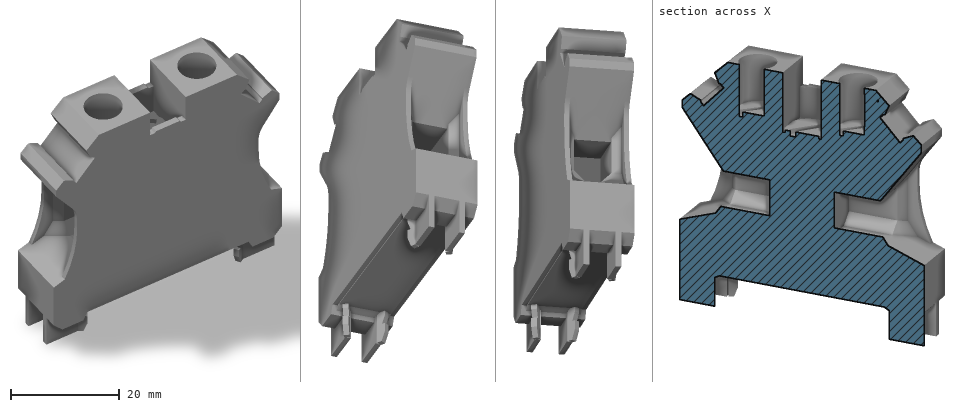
import cadquery as cq
import math

thickness = 12.15
length = 50.0
height = 49.35
half_thickness = thickness / 2
half_length = length / 2

base_z = 6.45
base_half_length = 17.7
skid_inner_y = 18.5
skid_outer_y = 23.1
skid_z = 4.8
skid_chamfer_top_z = 6.75
shoulder_z = 16.15
ledge_inner_y = 22.6
ledge_inner_z = 17.0
waist_y = 19.85
waist_bottom_z = 28.5
waist_blend_radius = 5.0
waist_arc_radius = 25.0
wing_y = 24.45
wing_bottom_z = 38.55
wing_top_z = 40.1
wing_slope = 0.75
wing_tip = (22.75, 41.7)

groove_lower_lip = (20.65, 40.75)
groove_lower_edge = (20.65, 40.45)
groove_lower_corner = (20.05, 39.8)
groove_upper_corner = (16.0, 44.05)
groove_upper_edge = (16.75, 44.75)
groove_upper_lip = (16.9, 44.55)
tower_overhang = (17.85, 46.75)
tower_top_y = 15.1

saddle_half_width = 3.9
saddle_z = 43.7
saddle_crown = 0.35
saddle_crown_half_width = 2.55
saddle_crown_base_half_width = 2.85

side_plate = 0.95
web_drop = 0.2
web_flat_half_length = 16.85
web_end_y = 18.25
web_end_z = 5.5
web_top_z = 10.0

funnel_half_width = half_thickness - side_plate
funnel_throat_y = 17.95
tunnel_half_width = 3.55
tunnel_mouth_y = 16.55
tunnel_ceiling_z = 27.35
tunnel_floor_half_width = 1.4
tunnel_corner_z = 21.2
facet_front_y = 19.9
facet_block = 20.0

screw_y = 10.25
screw_radius = 3.6
screw_head_z = 40.0
screw_slot_width = 1.05
screw_slot_angle = -45.0
slot_depth = 1.0
tunnel_end_y = screw_y - screw_radius

middle_pocket_half_width = 4.8
middle_pocket_floor_z = 37.5
middle_head_radius = 4.35
middle_head_height = 0.5
middle_slot_length = 6.9
middle_slot_width = 1.5
middle_slot_angle = -41.6

foot_outer_x = 3.55
foot_thickness = 1.1
foot_top_z = skid_chamfer_top_z
foot_bend_y = 18.05
tip_angle = 33.0
tip_length = 1.75
tip_bottom_length = 1.0
tip_taper_z = 1.9
barb_z = 3.65
barb_depth = 0.65
barb_top_z = 5.35


def floor_z(y):
    """Height of the sloping ledge plane at distance y from the centre."""
    slope = (ledge_inner_z - shoulder_z) / (half_length - ledge_inner_y)
    return shoulder_z + slope * (half_length - y)


def wing_y_at(z):
    """Distance from the centre of the wing underside plane at height z."""
    return wing_y - wing_slope * (wing_bottom_z - z)


def both_ends(shape):
    """The given +Y shape together with its mirror image at -Y."""
    return shape.union(shape.mirror("XZ"))


def half_body():
    corner_z = wing_bottom_z - (wing_y - waist_y) / wing_slope
    turn = math.atan(wing_slope)
    tangent = waist_blend_radius * math.tan(turn / 2)
    blend_top = (waist_y + tangent * math.sin(turn), corner_z + tangent * math.cos(turn))
    blend_middle = (
        waist_y + waist_blend_radius * (1 - math.cos(turn / 2)),
        corner_z - tangent + waist_blend_radius * math.sin(turn / 2),
    )
    outline = (
        cq.Workplane("YZ")
        .moveTo(0, base_z)
        .lineTo(base_half_length, base_z)
        .lineTo(skid_inner_y, skid_z)
        .lineTo(skid_outer_y, skid_z)
        .lineTo(half_length, skid_chamfer_top_z)
        .lineTo(half_length, shoulder_z)
        .lineTo(ledge_inner_y, ledge_inner_z)
        .radiusArc((waist_y, waist_bottom_z), waist_arc_radius)
        .lineTo(waist_y, corner_z - tangent)
        .threePointArc(blend_middle, blend_top)
        .lineTo(wing_y, wing_bottom_z)
        .lineTo(wing_y, wing_top_z)
        .lineTo(*wing_tip)
        .lineTo(*groove_lower_lip)
        .lineTo(*groove_lower_edge)
        .lineTo(*groove_lower_corner)
        .lineTo(*groove_upper_corner)
        .lineTo(*groove_upper_edge)
        .lineTo(*groove_upper_lip)
        .lineTo(*tower_overhang)
        .lineTo(tower_top_y, height)
        .lineTo(saddle_half_width, height)
        .lineTo(saddle_half_width, saddle_z)
        .lineTo(saddle_crown_base_half_width, saddle_z)
        .lineTo(saddle_crown_half_width, saddle_z + saddle_crown)
        .lineTo(0, saddle_z + saddle_crown)
        .close()
    )
    return outline.extrude(half_thickness, both=True)


def bottom_web():
    outline = (
        cq.Workplane("YZ")
        .moveTo(-web_flat_half_length, base_z - web_drop)
        .lineTo(web_flat_half_length, base_z - web_drop)
        .lineTo(web_end_y, web_end_z)
        .lineTo(web_end_y, web_top_z)
        .lineTo(-web_end_y, web_top_z)
        .lineTo(-web_end_y, web_end_z)
        .close()
    )
    return outline.extrude(funnel_half_width, both=True)


def funnel_facet():
    """Material left in the lower +X corner of the funnel, below a slanted facet."""
    upper = cq.Vector(tunnel_half_width, tunnel_mouth_y, tunnel_corner_z)
    lower = cq.Vector(tunnel_floor_half_width, tunnel_mouth_y, floor_z(tunnel_mouth_y))
    front = cq.Vector(funnel_half_width, facet_front_y, floor_z(facet_front_y))
    along = lower - upper
    facet_plane = cq.Plane(origin=upper, xDir=along, normal=along.cross(front - upper))
    below = cq.Workplane(facet_plane).rect(facet_block, facet_block).extrude(facet_block)
    ahead_of_tunnel = (
        cq.Workplane("XY", origin=(0, tunnel_mouth_y, 0))
        .box(thickness, half_length, height, centered=(True, False, False))
    )
    return below.intersect(ahead_of_tunnel)


def tunnel_corner():
    """Sloping lower +X corner of the tunnel."""
    tunnel_floor_z = floor_z(tunnel_mouth_y)
    return (
        cq.Workplane("XZ", origin=(0, tunnel_mouth_y, 0))
        .moveTo(tunnel_floor_half_width, tunnel_floor_z)
        .lineTo(tunnel_half_width, tunnel_corner_z)
        .lineTo(tunnel_half_width, tunnel_floor_z)
        .close()
        .extrude(tunnel_mouth_y - tunnel_end_y)
    )


def wire_entry():
    side_profile = (
        cq.Workplane("YZ")
        .moveTo(wing_y, wing_bottom_z)
        .lineTo(wing_y_at(tunnel_ceiling_z), tunnel_ceiling_z)
        .lineTo(tunnel_end_y, tunnel_ceiling_z)
        .lineTo(tunnel_end_y, floor_z(tunnel_mouth_y))
        .lineTo(tunnel_mouth_y, floor_z(tunnel_mouth_y))
        .lineTo(half_length, shoulder_z)
        .close()
        .extrude(half_thickness, both=True)
    )
    plan = (
        cq.Workplane("XY")
        .moveTo(0, half_length)
        .lineTo(funnel_half_width, half_length)
        .lineTo(funnel_half_width, funnel_throat_y)
        .lineTo(tunnel_half_width, tunnel_mouth_y)
        .lineTo(tunnel_half_width, tunnel_end_y)
        .lineTo(0, tunnel_end_y)
        .close()
        .extrude(height)
    )
    half_entry = side_profile.intersect(plan).cut(funnel_facet()).cut(tunnel_corner())
    return half_entry.union(half_entry.mirror("YZ"))


def screw_slot(slot_length, width, angle, y, top_z):
    return (
        cq.Workplane("XY", origin=(0, y, top_z - slot_depth))
        .transformed(rotate=(0, 0, angle))
        .rect(slot_length, width)
        .extrude(slot_depth)
    )


def tower_screw_hole(y):
    """Screw bore with the slot of the screw head sunk into its floor."""
    bore = (
        cq.Workplane("XY", origin=(0, y, screw_head_z))
        .circle(screw_radius)
        .extrude(height - screw_head_z)
    )
    slot = screw_slot(2 * screw_radius, screw_slot_width, screw_slot_angle, y, screw_head_z)
    head = (
        cq.Workplane("XY", origin=(0, y, screw_head_z))
        .circle(screw_radius)
        .extrude(-slot_depth)
    )
    return bore.union(slot.intersect(head))


def middle_pocket():
    """Pocket between the towers, leaving a raised slotted screw head on its floor."""
    pocket = (
        cq.Workplane("XY", origin=(0, 0, middle_pocket_floor_z))
        .rect(2 * middle_pocket_half_width, 2 * saddle_half_width)
        .extrude(height - middle_pocket_floor_z)
    )
    head = (
        cq.Workplane("XY", origin=(0, 0, middle_pocket_floor_z))
        .circle(middle_head_radius)
        .extrude(middle_head_height)
    )
    head_top_z = middle_pocket_floor_z + middle_head_height
    slot = screw_slot(middle_slot_length, middle_slot_width, middle_slot_angle, 0, head_top_z)
    return pocket.cut(head).union(slot)


def foot():
    """Foot at +X, +Y."""
    angle = math.radians(tip_angle)
    inner_x = foot_outer_x - foot_thickness
    inner_bend_y = foot_bend_y - foot_thickness * math.tan(angle / 2)
    plate = (
        cq.Workplane("XY")
        .moveTo(foot_outer_x, half_length)
        .lineTo(foot_outer_x, foot_bend_y)
        .lineTo(inner_x, inner_bend_y)
        .lineTo(inner_x, half_length)
        .close()
        .extrude(foot_top_z)
    )
    tip_direction = cq.Vector(math.sin(angle), -math.cos(angle), 0)
    tip_inward = cq.Vector(-math.cos(angle), -math.sin(angle), 0)
    tip_plane = cq.Plane(
        origin=(foot_outer_x, foot_bend_y, 0), xDir=tip_direction, normal=tip_inward
    )
    tip = (
        cq.Workplane(tip_plane)
        .polyline(
            [
                (0, 0),
                (tip_bottom_length, 0),
                (tip_length, tip_taper_z),
                (tip_length, barb_z),
                (tip_length - barb_depth, barb_z),
                (tip_length, barb_top_z),
                (tip_length, foot_top_z),
                (0, foot_top_z),
            ]
        )
        .close()
        .extrude(foot_thickness)
    )
    return plate.union(tip)


body = both_ends(half_body()).union(bottom_web())
body = body.cut(both_ends(wire_entry()))
for end in (-1, 1):
    body = body.cut(tower_screw_hole(end * screw_y))
body = body.cut(middle_pocket())

feet = both_ends(foot())
result = body.union(feet).union(feet.mirror("YZ"))